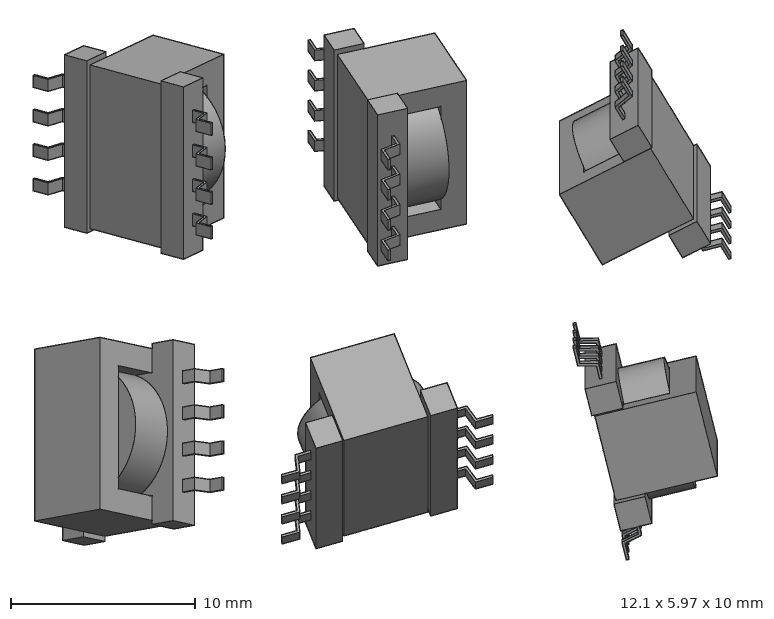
import cadquery as cq
import math

overall_width = 12.07
overall_depth = 5.97
rail_height = 10.0

core_width = 4.8
core_height = 9.5
core_bottom = 0.31
window_height = 6.8
window_bottom = 1.51
window_top = 4.47

winding_radius = 3.64

rail_width = 1.53
rail_gap = 5.03
rail_bottom = 0.17
rail_top = 1.91

terminal_count = 4
terminal_pitch = 2.0
terminal_row_offset = 0.05
terminal_width = 0.7
terminal_thickness = 0.15
foot_length = 1.02
leg_run = 0.23
shoulder_top = 1.13
terminal_embed = 0.5


def block(x_min, x_max, y_min, y_max, height):
    """Rectangular block, centred on Z = 0."""
    width = x_max - x_min
    depth = y_max - y_min
    center = ((x_min + x_max) / 2, (y_min + y_max) / 2, 0)
    return cq.Workplane("XY").box(width, depth, height).translate(center)


def make_core():
    half_width = core_width / 2
    body = block(-half_width, half_width, core_bottom, overall_depth, core_height)
    window = block(-half_width, half_width, window_bottom, window_top, window_height)
    return body.cut(window)


def make_winding():
    return (
        cq.Workplane("XZ", origin=(0, rail_top, 0))
        .circle(winding_radius)
        .extrude(rail_top - window_top)
    )


def make_bobbin():
    inner = rail_gap / 2
    outer = inner + rail_width
    right_rail = block(inner, outer, rail_bottom, rail_top, rail_height)
    plate = block(-inner, inner, window_bottom, rail_top, window_height)
    return right_rail.union(right_rail.mirror("YZ")).union(plate)


def make_terminal(z_center):
    """Terminal on the +X side: flat foot, sloped leg and shoulder entering the rail."""
    tip = overall_width / 2
    root = rail_gap / 2 + rail_width - terminal_embed
    foot_bend = tip - foot_length
    shoulder_bend = foot_bend - leg_run
    shoulder_bottom = shoulder_top - terminal_thickness
    bend_angle = math.atan2(shoulder_bottom, leg_run)
    mitre = terminal_thickness * math.tan(bend_angle / 2)
    outline = [
        (tip, 0),
        (foot_bend, 0),
        (shoulder_bend, shoulder_bottom),
        (root, shoulder_bottom),
        (root, shoulder_top),
        (shoulder_bend + mitre, shoulder_top),
        (foot_bend + mitre, terminal_thickness),
        (tip, terminal_thickness),
    ]
    return (
        cq.Workplane("XY", origin=(0, 0, z_center - terminal_width / 2))
        .polyline(outline)
        .close()
        .extrude(terminal_width)
    )


result = make_core().union(make_winding()).union(make_bobbin())
for index in range(terminal_count):
    row_position = index - (terminal_count - 1) / 2
    terminal = make_terminal(terminal_row_offset + row_position * terminal_pitch)
    result = result.union(terminal).union(terminal.mirror("YZ"))